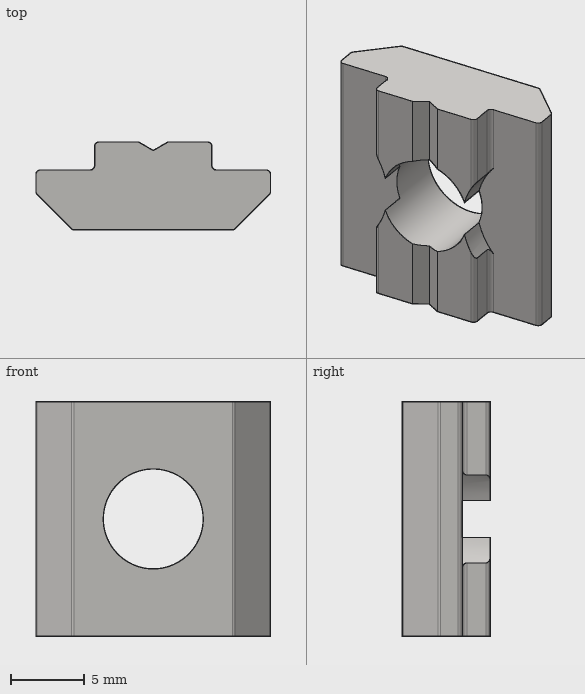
import cadquery as cq
import math

width = 16.0
length = 16.0
depth = 6.0
half_width = width / 2
half_length = length / 2

boss_width = width / 2
boss_height = 1.9
flange_top = depth - boss_height

bevel = 2.5

bevel_radius = 0.25
shoulder_radius = 0.3

groove_width = 2.0
groove_angle = 30.0
groove_depth = groove_width / 2 * math.tan(math.radians(groove_angle))

hole_diameter = 6.8
scallop_radius = 5.0


def edges_at(x, y):
    """Select the two mirrored lengthwise edges passing through (+x, y) and (-x, y)."""
    margin = 0.02

    def box(side):
        return cq.selectors.BoxSelector(
            (side * x - margin, y - margin, -margin),
            (side * x + margin, y + margin, margin),
        )

    return box(1) + box(-1)


def make_body():
    """Extrude the stepped, bevelled section along Z and round its edges."""
    half_boss = boss_width / 2
    right_half = [
        (half_width - bevel, 0),
        (half_width, bevel),
        (half_width, flange_top),
        (half_boss, flange_top),
        (half_boss, depth),
        (groove_width / 2, depth),
    ]
    left_half = [(-x, y) for x, y in reversed(right_half)]
    groove_bottom = (0, depth - groove_depth)
    body = (
        cq.Workplane("XY")
        .polyline(right_half + [groove_bottom] + left_half)
        .close()
        .extrude(half_length, both=True)
    )
    for x, y in right_half[:2]:
        body = body.edges(edges_at(x, y)).fillet(bevel_radius)
    for x, y in right_half[2:5]:
        body = body.edges(edges_at(x, y)).fillet(shoulder_radius)
    return body


def make_cylinder(x, radius, start, end):
    """Cylinder along +Y, centred on (x, Z = 0), from Y = start to Y = end."""
    return cq.Workplane(cq.Solid.makeCylinder(radius, end - start, cq.Vector(x, start, 0), cq.Vector(0, 1, 0)))


result = make_body()

result = result.cut(make_cylinder(0, hole_diameter / 2, 0, depth))

for side_x in (-half_width, half_width):
    result = result.cut(make_cylinder(side_x, scallop_radius, flange_top, depth))